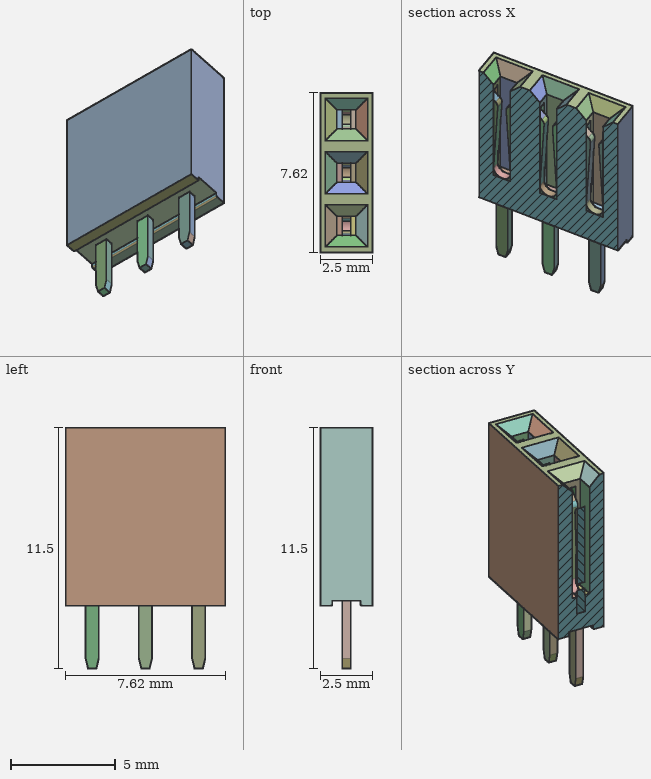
import cadquery as cq
import math

pole_count = 3
pitch = 2.54
housing_width = 2.5
housing_length = pole_count * pitch
housing_height = 8.5

channel_width = 1.33
channel_height = 0.23
channel_edge_radius = 0.07

mouth_size = 2.01
shaft_size = 0.91
funnel_depth = (mouth_size - shaft_size) / 2

contact_thickness = 0.41
slot_length = 1.61
slot_depth_below_mouth = 0.92
floor_thickness = 0.92
slot_top = housing_height - slot_depth_below_mouth
slot_floor = channel_height + floor_thickness

fork_clearance = 0.35
web_height = 0.92
crotch_radius = 0.46
crotch_bottom = slot_floor + web_height
crotch_center = crotch_bottom + crotch_radius
bump_radius = 0.35
bump_gap = 0.46
lead_in_angle = math.radians(39)
tail_width = 0.64
tail_length = 3.0
tip_width = 0.4
tip_length = 0.5

pole_positions = [(i - (pole_count - 1) / 2) * pitch for i in range(pole_count)]


def make_block(width, length, bottom, top, y):
    """Upright block centred at x = 0 and the given y."""
    return cq.Workplane("XY").box(width, length, top - bottom, (True, True, False)).translate((0, y, bottom))


def make_funnel(y):
    """Square funnel that narrows from the housing top to the shaft."""
    return (
        cq.Workplane("XY")
        .workplane(offset=housing_height - funnel_depth)
        .center(0, y)
        .rect(shaft_size, shaft_size)
        .workplane(offset=funnel_depth)
        .rect(mouth_size, mouth_size)
        .loft(ruled=True)
    )


def make_channel():
    """Straight-walled channel along the underside, with rounded lower edges."""
    half_width = channel_width / 2
    half_opening = half_width + channel_edge_radius
    arc_offset = channel_edge_radius * (1 - math.sqrt(0.5))
    return (
        cq.Workplane("XZ")
        .moveTo(-half_opening, 0)
        .threePointArc((-half_width - arc_offset, arc_offset), (-half_width, channel_edge_radius))
        .lineTo(-half_width, channel_height)
        .lineTo(half_width, channel_height)
        .lineTo(half_width, channel_edge_radius)
        .threePointArc((half_width + arc_offset, arc_offset), (half_opening, 0))
        .close()
        .extrude(housing_length / 2, both=True)
    )


def make_housing():
    """Block with an underside channel and one socket per pole."""
    housing = make_block(housing_width, housing_length, 0, housing_height, 0)
    housing = housing.cut(make_channel())
    for y in pole_positions:
        housing = housing.cut(make_funnel(y))
        housing = housing.cut(make_block(shaft_size, shaft_size, crotch_bottom, housing_height - funnel_depth, y))
        housing = housing.cut(make_block(contact_thickness, slot_length, slot_floor, slot_top, y))
        housing = housing.cut(make_block(contact_thickness, tail_width, 0, slot_floor, y))
    return housing


def make_contact(y):
    """Two-tined fork whose tines bulge towards each other below sloped lead-ins."""
    half_length = slot_length / 2
    half_gap = bump_gap / 2
    half_tail = tail_width / 2
    half_tip = tip_width / 2
    fork_top = slot_top - fork_clearance

    bump_center_y = half_gap + bump_radius
    tangent_y = bump_center_y - bump_radius * math.sin(lead_in_angle)
    tangent_z = fork_top - (half_length - tangent_y) * math.tan(lead_in_angle)
    bump_center_z = tangent_z - bump_radius * math.cos(lead_in_angle)
    middle_angle = (lead_in_angle + math.pi / 2) / 2
    middle_y = bump_center_y - bump_radius * math.sin(middle_angle)
    middle_z = bump_center_z + bump_radius * math.cos(middle_angle)

    return (
        cq.Workplane("YZ")
        .moveTo(-half_tip, -tail_length)
        .lineTo(half_tip, -tail_length)
        .lineTo(half_tail, tip_length - tail_length)
        .lineTo(half_tail, slot_floor)
        .lineTo(half_length, slot_floor)
        .lineTo(half_length, fork_top)
        .lineTo(tangent_y, tangent_z)
        .threePointArc((middle_y, middle_z), (half_gap, bump_center_z))
        .lineTo(crotch_radius, crotch_center)
        .threePointArc((0, crotch_bottom), (-crotch_radius, crotch_center))
        .lineTo(-half_gap, bump_center_z)
        .threePointArc((-middle_y, middle_z), (-tangent_y, tangent_z))
        .lineTo(-half_length, fork_top)
        .lineTo(-half_length, slot_floor)
        .lineTo(-half_tail, slot_floor)
        .lineTo(-half_tail, tip_length - tail_length)
        .close()
        .extrude(contact_thickness / 2, both=True)
        .translate((0, y, 0))
    )


housing = make_housing()
contacts = [make_contact(y) for y in pole_positions]

result = cq.Compound.makeCompound([housing.val(), *[contact.val() for contact in contacts]])